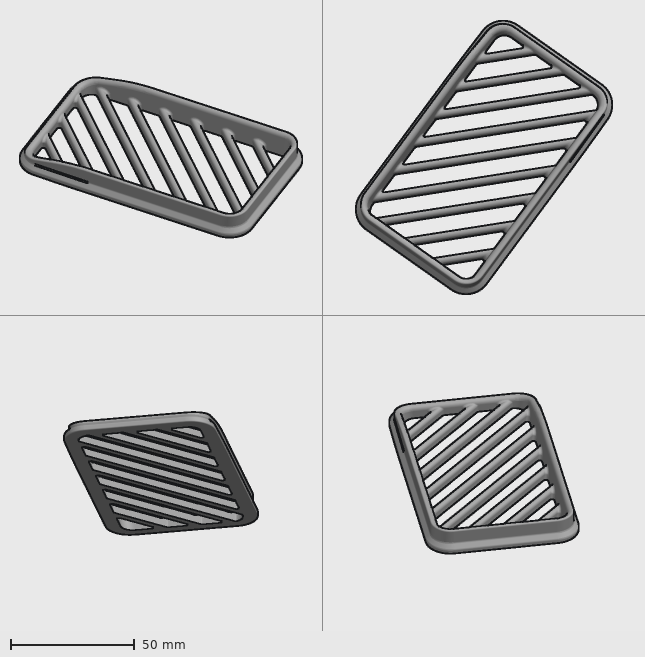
import cadquery as cq
import math

LENGTH = 104.13
WIDTH = 62.78
HEIGHT = 10.0
HALF_LENGTH = LENGTH / 2
HALF_WIDTH = WIDTH / 2

CORNER_RADIUS = 10.2
BOW_START_X = -18.1
BOW_DEPTH = 0.6

FOOT_HEIGHT = 2.1
SHOULDER = 2.0
SHOULDER_ANGLE = 45.0
SHOULDER_BLEND = 1.0
FOOT_EDGE_RADIUS = 0.5
OUTER_TOP_RADIUS = 0.6
INNER_TOP_RADIUS = 2.0
SHOULDER_TOP = FOOT_HEIGHT + SHOULDER
WALL_HEIGHT = HEIGHT - SHOULDER_TOP

RIM_LEFT = 5.4
RIM_RIGHT = 4.9
RIM_LONG_BOTTOM = 6.2
RIM_LONG_TOP = 4.6
OPENING_CORNER_RADIUS = 5.0

LIP_RADIUS = 80.0
LIP_ANGLE = math.radians(11.5)

BAR_WIDTH = 3.0
BAR_HEIGHT = 4.0
BAR_PITCH = 10.0
BAR_COUNT = 9
BAR_SHIFT = -0.3
BAR_ANGLE = -45.0
BAR_END_BLEND = 1.0
BAR_END_INSET = 4.3

CLEARANCE = 5.0
TOUCH_TOLERANCE = 1e-3


def edges_touching(body, *shapes):
    """Edges of the body whose midpoint lies on every one of the shapes."""

    def touches_all(edge):
        midpoint = cq.Vertex.makeVertex(*edge.positionAt(0.5).toTuple())
        return all(midpoint.distance(shape) < TOUCH_TOLERANCE for shape in shapes)

    return body.edges().filter(touches_all)


def edges_at_heights(body, *heights):
    """Level edges of the body at any of the given heights."""

    def is_at_height(edge):
        box = edge.BoundingBox()
        return any(abs(box.zmin - z) + abs(box.zmax - z) < TOUCH_TOLERANCE for z in heights)

    return body.edges().filter(is_at_height)


def is_top_face(face):
    """True for the level and gently sloping faces on top of the wall."""
    return face.normalAt().z > math.cos(2 * LIP_ANGLE)


def foot_outline():
    """Sharp-cornered outline of the foot; the long sides bow inward at the left."""
    bow_length = HALF_LENGTH + BOW_START_X
    bow_radius = (bow_length**2 + BOW_DEPTH**2) / (2 * BOW_DEPTH)
    bow_mid_x = BOW_START_X - bow_length / 2
    bow_mid_y = HALF_WIDTH - bow_radius + math.sqrt(bow_radius**2 - (bow_length / 2) ** 2)
    bow_end_y = HALF_WIDTH - BOW_DEPTH
    return (
        cq.Workplane("XY")
        .moveTo(BOW_START_X, -HALF_WIDTH)
        .lineTo(HALF_LENGTH, -HALF_WIDTH)
        .lineTo(HALF_LENGTH, HALF_WIDTH)
        .lineTo(BOW_START_X, HALF_WIDTH)
        .threePointArc((bow_mid_x, bow_mid_y), (-HALF_LENGTH, bow_end_y))
        .lineTo(-HALF_LENGTH, -bow_end_y)
        .threePointArc((bow_mid_x, -bow_mid_y), (BOW_START_X, -HALF_WIDTH))
        .close()
    )


def filled_rim():
    """Foot, shoulder and wall, still without the opening."""
    foot = foot_outline().extrude(FOOT_HEIGHT).edges("|Z and (<X or >X)").fillet(CORNER_RADIUS)
    foot_top = foot.faces(">Z").wires().toPending()
    shoulder = foot_top.extrude(SHOULDER, combine=False, taper=SHOULDER_ANGLE)
    wall = shoulder.faces(">Z").wires().toPending().extrude(WALL_HEIGHT, combine=False)
    body = foot.union(shoulder).union(wall)
    body = edges_at_heights(body, FOOT_HEIGHT, SHOULDER_TOP).fillet(SHOULDER_BLEND)
    return body.faces("<Z").edges().fillet(FOOT_EDGE_RADIUS)


def lip_cut():
    """Material removed above the lowered lip at the left end."""
    arc_end_x = BOW_START_X - LIP_RADIUS * math.sin(LIP_ANGLE)
    arc_end_z = HEIGHT - LIP_RADIUS * (1 - math.cos(LIP_ANGLE))
    arc_mid_x = BOW_START_X - LIP_RADIUS * math.sin(LIP_ANGLE / 2)
    arc_mid_z = HEIGHT - LIP_RADIUS * (1 - math.cos(LIP_ANGLE / 2))
    ramp_end_x = -HALF_LENGTH - CLEARANCE
    ramp_end_z = arc_end_z - (arc_end_x - ramp_end_x) * math.tan(LIP_ANGLE)
    return (
        cq.Workplane("XZ")
        .moveTo(BOW_START_X, HEIGHT)
        .threePointArc((arc_mid_x, arc_mid_z), (arc_end_x, arc_end_z))
        .lineTo(ramp_end_x, ramp_end_z)
        .lineTo(ramp_end_x, HEIGHT + CLEARANCE)
        .lineTo(BOW_START_X, HEIGHT + CLEARANCE)
        .close()
        .extrude(WIDTH, both=True)
    )


def opening_body():
    """Through opening: upright ends, and long faces that lean in toward the bottom."""
    lean = (RIM_LONG_BOTTOM - RIM_LONG_TOP) / HEIGHT
    low_z = -CLEARANCE
    high_z = HEIGHT + CLEARANCE
    low_y = HALF_WIDTH - RIM_LONG_BOTTOM + lean * low_z
    high_y = HALF_WIDTH - RIM_LONG_BOTTOM + lean * high_z
    return (
        cq.Workplane("YZ", origin=(RIM_LEFT - HALF_LENGTH, 0, 0))
        .polyline([(-low_y, low_z), (low_y, low_z), (high_y, high_z), (-high_y, high_z)])
        .close()
        .extrude(LENGTH - RIM_LEFT - RIM_RIGHT)
        .edges("(<X or >X) and (not #Z)")
        .fillet(OPENING_CORNER_RADIUS)
    )


def hollow_rim(opening, opening_skin):
    """Rim with its lowered lip, its opening and both top edges rounded."""
    blank = filled_rim()
    outer_walls = cq.Compound.makeCompound(blank.faces("#Z").vals())
    rim = blank.cut(lip_cut())
    top = cq.Compound.makeCompound(rim.faces().filter(is_top_face).vals())
    rim = edges_touching(rim, outer_walls, top).fillet(OUTER_TOP_RADIUS)
    rim = rim.cut(opening)
    return edges_touching(rim, opening_skin, top).fillet(INNER_TOP_RADIUS)


def drain_bars():
    """Parallel diagonal bars, trimmed to end inside the rim."""
    footprint = cq.Workplane("XY").box(
        LENGTH - 2 * BAR_END_INSET,
        WIDTH - 2 * BAR_END_INSET,
        HEIGHT,
        centered=(True, True, False),
    )
    bar_radius = BAR_WIDTH / 2
    side_height = BAR_HEIGHT - bar_radius
    bars = cq.Workplane("XY")
    for index in range(BAR_COUNT):
        offset = (index - (BAR_COUNT - 1) / 2) * BAR_PITCH + BAR_SHIFT
        bar = (
            cq.Workplane("YZ")
            .moveTo(offset - bar_radius, 0)
            .lineTo(offset + bar_radius, 0)
            .lineTo(offset + bar_radius, side_height)
            .threePointArc((offset, BAR_HEIGHT), (offset - bar_radius, side_height))
            .close()
            .extrude(LENGTH, both=True)
            .rotate((0, 0, 0), (0, 0, 1), BAR_ANGLE)
        )
        bars = bars.add(bar.intersect(footprint))
    return bars.combine()


opening = opening_body()
opening_skin = opening.val().Shells()[0]
bars = drain_bars()

dish = hollow_rim(opening, opening_skin).union(bars)
result = edges_touching(dish, opening_skin, bars.val()).fillet(BAR_END_BLEND)